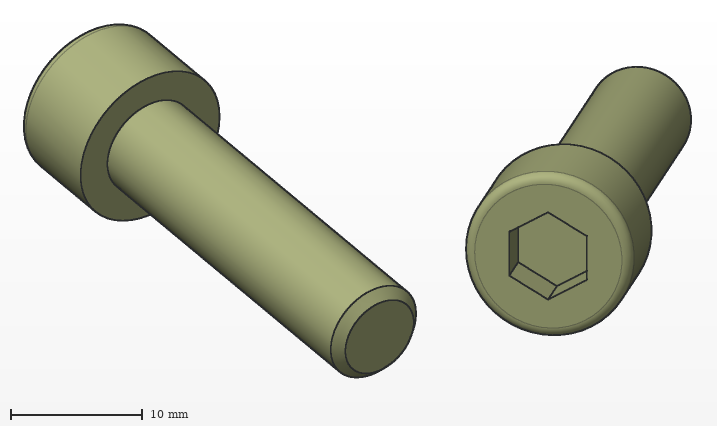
import cadquery as cq
import math

total_length = 38.0
head_diameter = 13.0
head_height = 7.98
head_fillet = 0.8
shank_diameter = 7.98
tip_chamfer = 0.8
hex_across_flats = 6.0
socket_depth = 3.6

head_face_x = -total_length / 2
shank_length = total_length - head_height


def plane_at(x):
    """Plane facing +X, with its local axes along Y and Z."""
    return cq.Workplane("YZ", origin=(x, 0, 0))


head = plane_at(head_face_x).circle(head_diameter / 2).extrude(head_height)
head = head.faces("<X").edges().fillet(head_fillet)

shank = plane_at(head_face_x + head_height).circle(shank_diameter / 2).extrude(shank_length)
shank = shank.faces(">X").edges().chamfer(tip_chamfer)

hex_across_corners = hex_across_flats / math.cos(math.pi / 6)
socket = (
    plane_at(head_face_x)
    .transformed(rotate=(0, 0, 90))
    .polygon(6, hex_across_corners)
    .extrude(socket_depth)
)

result = head.union(shank).cut(socket)